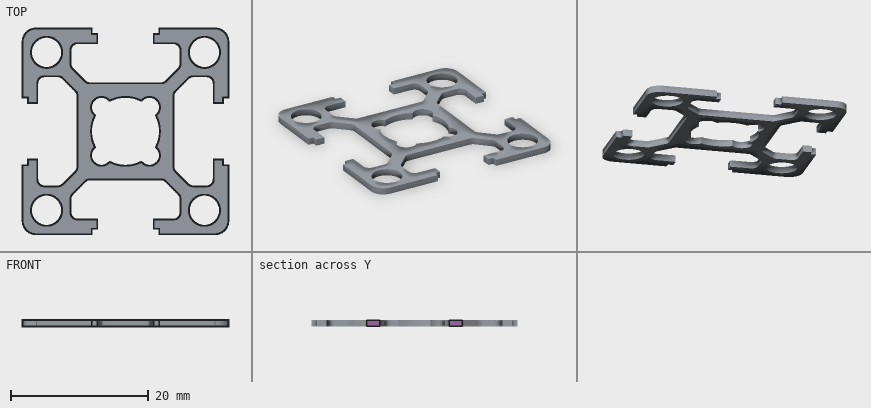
import cadquery as cq
import math

SIDE = 30.0
THICKNESS = 1.0
CORNER_RADIUS = 2.0

MOUTH_WIDTH = 9.8
THROAT_WIDTH = 8.2
MOUTH_DEPTH = 0.8
LIP_DEPTH = 2.2
CAVITY_WIDTH = 16.0
CAVITY_RADIUS = 1.0
FLOOR_DEPTH = 7.98
FLOOR_RADIUS = 0.75

ARM_WIDTH = 2.0

CORNER_HOLE_DIAMETER = 4.5
CORNER_HOLE_INSET = 3.5

BORE_DIAMETER = 10.0
LOBE_DIAMETER = 3.0

HALF_SIDE = SIDE / 2


def square_grid(spacing):
    """Workplane at the plate's bottom face with a point at each corner of a square."""
    return cq.Workplane("XY").rect(spacing, spacing, forConstruction=True).vertices()


def make_plate():
    return cq.Workplane("XY").rect(SIDE, SIDE).extrude(THICKNESS).edges("|Z").fillet(CORNER_RADIUS)


def fillet_upright_edges(void, radius, points):
    """Round the upright edges through the mirrored pairs of (x, y) points."""
    for x, y in points:
        for mirrored_x in (-x, x):
            edge_middle = (mirrored_x, y, THICKNESS / 2)
            void = void.edges(cq.selectors.NearestToPointSelector(edge_middle)).fillet(radius)
    return void


def make_slot():
    """T-slot void opening through the +Y side of the plate."""
    mouth = MOUTH_WIDTH / 2
    throat = THROAT_WIDTH / 2
    cavity = CAVITY_WIDTH / 2
    mouth_bottom = HALF_SIDE - MOUTH_DEPTH
    cavity_top = HALF_SIDE - LIP_DEPTH
    floor_level = HALF_SIDE - FLOOR_DEPTH
    arm_offset = ARM_WIDTH / 2 * math.sqrt(2)
    wall_end = cavity + arm_offset
    floor = floor_level - arm_offset

    void = (
        cq.Workplane("XY")
        .moveTo(0, HALF_SIDE)
        .lineTo(mouth, HALF_SIDE)
        .lineTo(mouth, mouth_bottom)
        .lineTo(throat, mouth_bottom)
        .lineTo(throat, cavity_top)
        .lineTo(cavity, cavity_top)
        .lineTo(cavity, wall_end)
        .lineTo(floor, floor_level)
        .lineTo(0, floor_level)
        .mirrorY()
        .extrude(THICKNESS)
    )
    void = fillet_upright_edges(void, CAVITY_RADIUS, [(cavity, cavity_top), (cavity, wall_end)])
    return fillet_upright_edges(void, FLOOR_RADIUS, [(floor, floor_level)])


def make_corner_holes():
    return square_grid(SIDE - 2 * CORNER_HOLE_INSET).circle(CORNER_HOLE_DIAMETER / 2).extrude(THICKNESS)


def make_central_opening():
    bore = cq.Workplane("XY").circle(BORE_DIAMETER / 2).extrude(THICKNESS)
    lobes = square_grid(BORE_DIAMETER - LOBE_DIAMETER).circle(LOBE_DIAMETER / 2).extrude(THICKNESS)
    return bore.union(lobes)


result = make_plate()
slot = make_slot()
for quarter_turn in range(4):
    result = result.cut(slot.rotate((0, 0, 0), (0, 0, 1), 90 * quarter_turn))
result = result.cut(make_corner_holes())
result = result.cut(make_central_opening())